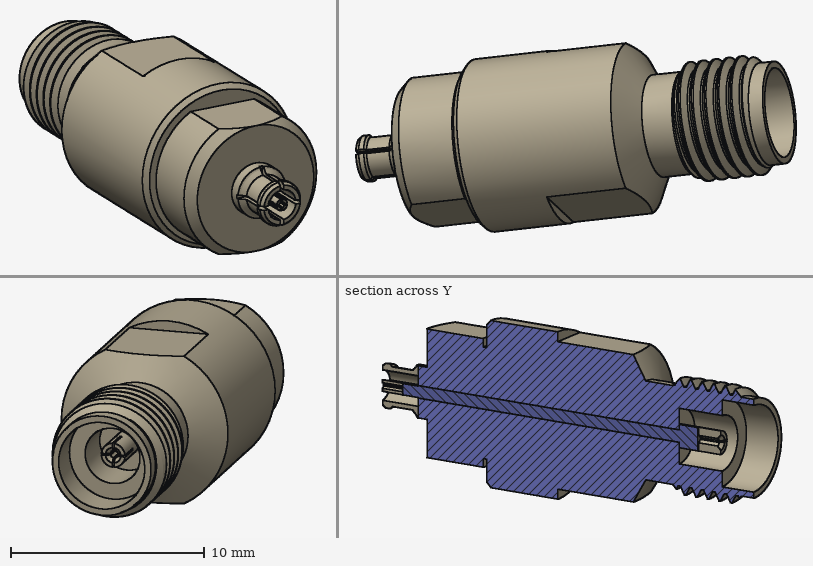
import cadquery as cq
import math

LENGTH = 22.8

BARREL_RADIUS = 2.67
THREAD_RADIUS = 3.12
THREAD_ROOT_RADIUS = 2.7
THREAD_START = 0.78
THREAD_END = 4.97
THREAD_PITCH = 0.7
THREAD_FLANK_ANGLE = 30.0
THREAD_ROOT_FLAT = 0.11
THREAD_GROOVE_LEAD = 0.1
THREAD_EXTRA_TURNS = 2

BODY_START = 6.61
BODY_END = 16.37
BODY_RADIUS = 9.0 / 2
BODY_CONE_ANGLE = 30.0
BODY_CHAMFER = 0.27
BODY_FLAT_HEIGHT = 3.97
BODY_FLAT_END = 12.0

GROOVE_RADIUS = 3.0
REAR_START = 16.55
REAR_END = 20.02
REAR_RADIUS = 3.95
REAR_FLAT_HEIGHT = 3.47
REAR_CHAMFER_LENGTH = 0.55

PLUG_BASE_RADIUS = 1.41
PLUG_BASE_END = 20.68
PLUG_EDGE_LENGTH = 0.07
PLUG_EDGE_DEPTH = 0.11
PLUG_NECK_START = 20.98
PLUG_NECK_RADIUS = 1.07
LIP_RADIUS = 1.2
LIP_RAMP_START = 22.2
LIP_START = 22.32
LIP_END = 22.6
PLUG_BORE_RADIUS = 0.82
PLUG_SLOT_START = 20.57
PLUG_SLOT_WIDTH = 0.2

SOCKET_RADIUS = 2.33
SOCKET_DEPTH = 1.94
INNER_BORE_RADIUS = 1.48
INNER_BORE_DEPTH = 4.55

CONTACT_START = 2.05
CONTACT_END = 22.78
CONTACT_HEAD_RADIUS = 0.64
CONTACT_SHANK_RADIUS = 0.32
CONTACT_SLOT_WIDTH = 0.1
HEAD_SLOT_DEPTH = 1.37
HEAD_FUNNEL_RADIUS = 0.4
HEAD_HOLE_RADIUS = 0.2
HEAD_FUNNEL_DEPTH = 0.2
SHANK_SLOT_START = 21.5
SHANK_HOLE_RADIUS = 0.15


def turned(points):
    """Revolve a closed (x, radius) outline about the X axis, with its seam on the -Y side."""
    outline = cq.Workplane("XY").polyline([(x, -radius) for x, radius in points]).close()
    return outline.revolve(360, (0, 0, 0), (1, 0, 0))


def rod(start, end, radius):
    """A cylinder on the X axis."""
    return cq.Workplane("YZ", origin=(start, 0, 0)).circle(radius).extrude(end - start)


def cross_slots(start, end, width, reach):
    """Two crossing slabs on the X axis that split a tube into four fingers."""
    slot = cq.Workplane("XY").box(end - start, 2 * reach, width)
    slot = slot.union(cq.Workplane("XY").box(end - start, width, 2 * reach))
    return slot.translate(((start + end) / 2, 0, 0))


def flat_cutter(start, end, height, radius):
    """Slabs above and below that leave two flats at Z = +height and -height."""
    thickness = radius
    slab = cq.Workplane("XY").box(end - start, 4 * radius, thickness)
    middle = (start + end) / 2
    offset = height + thickness / 2
    return slab.translate((middle, 0, offset)).union(slab.translate((middle, 0, -offset)))


def thread_groove():
    """Right-handed V groove that runs past both ends of the thread."""
    depth = THREAD_RADIUS - THREAD_ROOT_RADIUS
    clearance = depth / 10
    root_half = THREAD_ROOT_FLAT / 2
    outer_half = root_half + (depth + clearance) * math.tan(math.radians(THREAD_FLANK_ANGLE))
    outer_radius = THREAD_RADIUS + clearance
    turns = math.ceil((THREAD_END - THREAD_START) / THREAD_PITCH) + THREAD_EXTRA_TURNS
    helix = cq.Workplane(
        obj=cq.Wire.makeHelix(THREAD_PITCH, turns * THREAD_PITCH, THREAD_ROOT_RADIUS)
    )
    profile = cq.Workplane("XZ").polyline([
        (THREAD_ROOT_RADIUS, -root_half),
        (outer_radius, -outer_half),
        (outer_radius, outer_half),
        (THREAD_ROOT_RADIUS, root_half),
    ]).close()
    groove = profile.sweep(helix, isFrenet=True)
    groove = groove.rotate((0, 0, 0), (0, 1, 0), 90)
    groove = groove.rotate((0, 0, 0), (1, 0, 0), 180)
    return groove.translate((THREAD_START - THREAD_GROOVE_LEAD, 0, 0))


def threaded_barrel():
    blank_height = THREAD_RADIUS - BARREL_RADIUS
    thread = turned([
        (THREAD_START, 0),
        (THREAD_START, BARREL_RADIUS),
        (THREAD_START + blank_height, THREAD_RADIUS),
        (THREAD_END - blank_height, THREAD_RADIUS),
        (THREAD_END, BARREL_RADIUS),
        (THREAD_END, 0),
    ]).cut(thread_groove())
    return rod(0, BODY_START, BARREL_RADIUS).union(thread)


def main_body():
    cone_length = (BODY_RADIUS - BARREL_RADIUS) * math.tan(math.radians(BODY_CONE_ANGLE))
    body = turned([
        (BODY_START, 0),
        (BODY_START, BARREL_RADIUS),
        (BODY_START + cone_length, BODY_RADIUS),
        (BODY_END - BODY_CHAMFER, BODY_RADIUS),
        (BODY_END, BODY_RADIUS - BODY_CHAMFER),
        (BODY_END, 0),
    ])
    return body.cut(flat_cutter(BODY_START, BODY_FLAT_END, BODY_FLAT_HEIGHT, BODY_RADIUS))


def rear_collar():
    collar = turned([
        (REAR_START, 0),
        (REAR_START, REAR_RADIUS),
        (REAR_END - REAR_CHAMFER_LENGTH, REAR_RADIUS),
        (REAR_END, REAR_FLAT_HEIGHT),
        (REAR_END, 0),
    ])
    collar = collar.cut(flat_cutter(REAR_START, REAR_END, REAR_FLAT_HEIGHT, REAR_RADIUS))
    return collar.union(rod(BODY_END, REAR_START, GROOVE_RADIUS))


def slotted_plug():
    plug = turned([
        (REAR_END, 0),
        (REAR_END, PLUG_BASE_RADIUS),
        (PLUG_BASE_END, PLUG_BASE_RADIUS),
        (PLUG_BASE_END + PLUG_EDGE_LENGTH, PLUG_BASE_RADIUS - PLUG_EDGE_DEPTH),
        (PLUG_NECK_START, PLUG_NECK_RADIUS),
        (LIP_RAMP_START, PLUG_NECK_RADIUS),
        (LIP_START, LIP_RADIUS),
        (LIP_END, LIP_RADIUS),
        (LENGTH, PLUG_NECK_RADIUS),
        (LENGTH, 0),
    ])
    plug = plug.cut(rod(PLUG_SLOT_START, LENGTH, PLUG_BORE_RADIUS))
    return plug.cut(cross_slots(PLUG_SLOT_START, LENGTH, PLUG_SLOT_WIDTH, PLUG_BASE_RADIUS))


def make_housing():
    housing = threaded_barrel().union(main_body()).union(rear_collar()).union(slotted_plug())
    housing = housing.cut(rod(0, SOCKET_DEPTH, SOCKET_RADIUS))
    housing = housing.cut(rod(SOCKET_DEPTH, INNER_BORE_DEPTH, INNER_BORE_RADIUS))
    return housing.cut(rod(INNER_BORE_DEPTH, PLUG_SLOT_START, CONTACT_SHANK_RADIUS))


def make_contact():
    head_slot_end = CONTACT_START + HEAD_SLOT_DEPTH
    contact = turned([
        (CONTACT_START, HEAD_FUNNEL_RADIUS),
        (CONTACT_START, CONTACT_HEAD_RADIUS),
        (INNER_BORE_DEPTH, CONTACT_HEAD_RADIUS),
        (INNER_BORE_DEPTH, CONTACT_SHANK_RADIUS),
        (CONTACT_END, CONTACT_SHANK_RADIUS),
        (CONTACT_END, SHANK_HOLE_RADIUS),
        (SHANK_SLOT_START, SHANK_HOLE_RADIUS),
        (SHANK_SLOT_START, 0),
        (head_slot_end, 0),
        (head_slot_end, HEAD_HOLE_RADIUS),
        (CONTACT_START + HEAD_FUNNEL_DEPTH, HEAD_HOLE_RADIUS),
    ])
    contact = contact.cut(
        cross_slots(CONTACT_START, head_slot_end, CONTACT_SLOT_WIDTH, CONTACT_HEAD_RADIUS)
    )
    return contact.cut(
        cross_slots(SHANK_SLOT_START, CONTACT_END, CONTACT_SLOT_WIDTH, CONTACT_SHANK_RADIUS)
    )


housing = make_housing()
contact = make_contact()

result = cq.Compound.makeCompound([housing.solids().val(), contact.solids().val()])